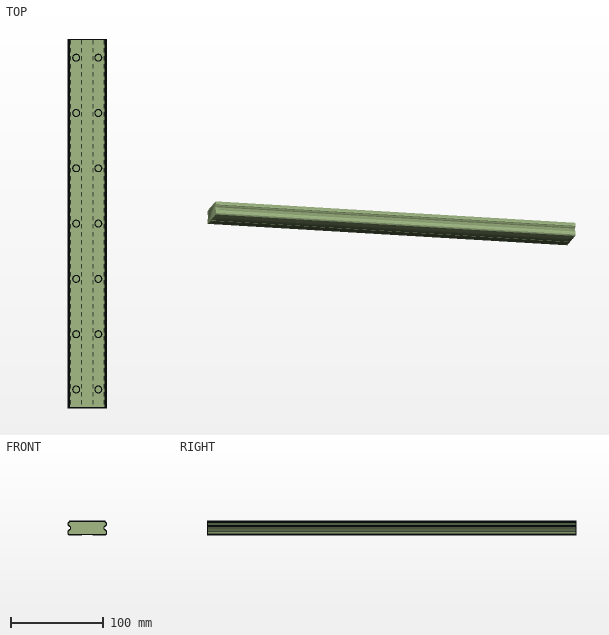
import cadquery as cq

WIDTH = 42.0
LENGTH = 400.0
HEIGHT = 15.0
HALF_WIDTH = WIDTH / 2

TOP_HALF_WIDTH = 19.0
RACE_HALF_WIDTH = 19.7
RACE_RADIUS = 2.0
UPPER_RACE_TOP = 14.3
UPPER_RACE_BOTTOM = 12.8
LOWER_RACE_TOP = 10.9
LOWER_RACE_BOTTOM = 9.8

GROOVE_HALF_WIDTH = 18.4
GROOVE_TOP = 8.6
GROOVE_BOTTOM = 6.3
BASE_TOP = 4.6
BASE_TOP_CHAMFER_WIDTH = 0.3
BASE_TOP_CHAMFER_HEIGHT = 1.1

BOTTOM_CHAMFER = 1.2
RELIEF_WIDTH = 12.6
RELIEF_DEPTH = 0.3

HOLE_DIAMETER = 7.5
HOLE_DEPTH = 0.1
HOLE_ROW_SPACING = 24.0
HOLE_PITCH = 60.0
HOLES_PER_ROW = 7


def make_rail():
    """Extrude one half of the symmetric cross-section and mirror it."""
    half_profile = (
        cq.Workplane("XZ")
        .moveTo(0, RELIEF_DEPTH)
        .lineTo(RELIEF_WIDTH / 2, RELIEF_DEPTH)
        .lineTo(RELIEF_WIDTH / 2, 0)
        .lineTo(HALF_WIDTH - BOTTOM_CHAMFER, 0)
        .lineTo(HALF_WIDTH, BOTTOM_CHAMFER)
        .lineTo(HALF_WIDTH, BASE_TOP - BASE_TOP_CHAMFER_HEIGHT)
        .lineTo(HALF_WIDTH - BASE_TOP_CHAMFER_WIDTH, BASE_TOP)
        .lineTo(GROOVE_HALF_WIDTH, GROOVE_BOTTOM)
        .lineTo(GROOVE_HALF_WIDTH, GROOVE_TOP)
        .lineTo(RACE_HALF_WIDTH, LOWER_RACE_BOTTOM)
        .radiusArc((HALF_WIDTH, LOWER_RACE_TOP), RACE_RADIUS)
        .lineTo(HALF_WIDTH, UPPER_RACE_BOTTOM)
        .radiusArc((RACE_HALF_WIDTH, UPPER_RACE_TOP), RACE_RADIUS)
        .lineTo(TOP_HALF_WIDTH, HEIGHT)
        .lineTo(0, HEIGHT)
        .close()
    )
    half_rail = half_profile.extrude(LENGTH / 2, both=True)
    return half_rail.union(half_rail.mirror("YZ")).clean()


def cut_mounting_holes(rail):
    """Sink two rows of evenly pitched round recesses into the top face."""
    return (
        rail.faces(">Z")
        .workplane(origin=(0, 0, HEIGHT))
        .rarray(HOLE_ROW_SPACING, HOLE_PITCH, 2, HOLES_PER_ROW)
        .hole(HOLE_DIAMETER, HOLE_DEPTH)
    )


result = cut_mounting_holes(make_rail())